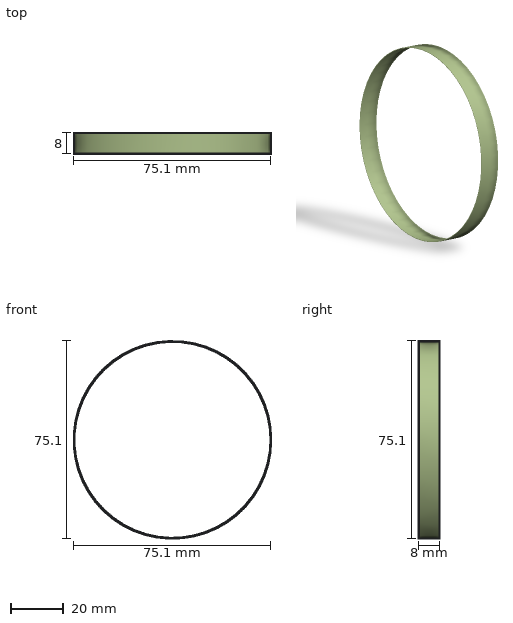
import cadquery as cq

outer_diameter = 75.06
wall_thickness = 0.25
ring_width = 8.0

outer_radius = outer_diameter / 2
inner_radius = outer_radius - wall_thickness


def make_ring():
    """Extrude the annulus along Y, equally to both sides of the XZ plane."""
    return (
        cq.Workplane("XZ")
        .workplane(offset=-ring_width / 2)
        .circle(outer_radius)
        .circle(inner_radius)
        .extrude(ring_width)
    )


result = make_ring()